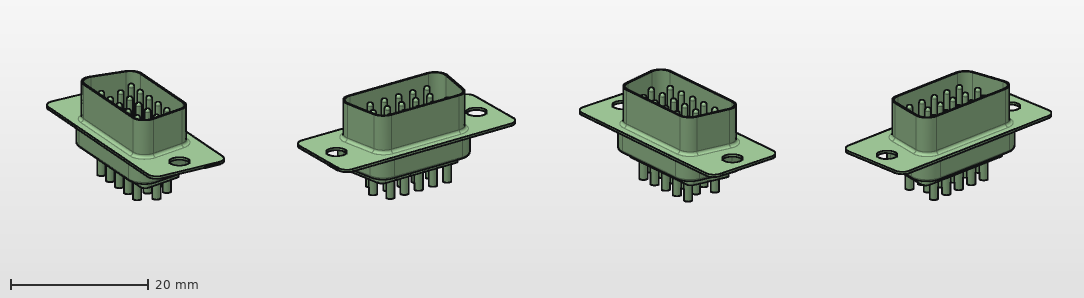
import cadquery as cq
import math

OVERALL_LENGTH = 31.3

STRIP_REACH = 0.1
STRIP_WIDTH = 2.45
STRIP_THICKNESS = 0.15
STRIP_CENTRE_Y = 3.65

FLANGE_LENGTH = OVERALL_LENGTH - STRIP_REACH
FLANGE_WIDTH = 12.7
FLANGE_THICKNESS = 0.4
FLANGE_CORNER_RADIUS = 1.5
MOUNT_HOLE_DIAMETER = 3.05
MOUNT_HOLE_SPACING = 25.0

SLANT_ANGLE = math.radians(10)

SHELL_LENGTH = 17.97
SHELL_WIDTH = 9.33
SHELL_CORNER_RADIUS = 1.97
SHELL_TOP = 6.32
SHELL_WALL = 0.25
SHELL_ROOT_RADIUS = 0.5
FLOOR_Z = FLANGE_THICKNESS

HOUSING_OVERHANG = 0.78
HOUSING_DEPTH = 3.63
HOUSING_EDGE_RADIUS = 0.47

BASE_LENGTH = 16.03
BASE_WIDTH = 6.95
BASE_CORNER_RADIUS = 0.78
BASE_HEIGHT = 1.28

PITCH = 2.55
CONTACTS_PER_ROW = 5
CONTACTS_CENTRE_X = 0.25
PIN_DIAMETER = 0.88
PIN_TOP = 5.38
TAIL_DIAMETER = 1.25
TAIL_LENGTH = 3.0

BASE_BOTTOM = -HOUSING_DEPTH - BASE_HEIGHT
TAIL_BOTTOM = BASE_BOTTOM - TAIL_LENGTH


def d_prism(length, width, corner_radius, bottom, top):
    """Prism with the rounded D outline; length is taken across the wide-side corners."""
    corner_x = length / 2 - corner_radius
    corner_y = width / 2 - corner_radius
    slant_offset = corner_radius / math.cos(SLANT_ANGLE)
    mid_half_length = corner_x + slant_offset - corner_y * math.tan(SLANT_ANGLE)
    slant_x = width / 2 * math.tan(SLANT_ANGLE)
    outline = [
        (-mid_half_length - slant_x, -width / 2),
        (mid_half_length + slant_x, -width / 2),
        (mid_half_length - slant_x, width / 2),
        (-mid_half_length + slant_x, width / 2),
    ]
    prism = cq.Workplane("XY").workplane(offset=bottom).polyline(outline).close().extrude(top - bottom)
    return prism.edges("|Z").fillet(corner_radius)


def make_flange():
    plate = cq.Workplane("XY").box(
        FLANGE_LENGTH, FLANGE_WIDTH, FLANGE_THICKNESS, centered=(True, True, False)
    )
    plate = plate.edges("|Z").fillet(FLANGE_CORNER_RADIUS)
    half_spacing = MOUNT_HOLE_SPACING / 2
    holes = plate.faces(">Z").workplane().pushPoints([(-half_spacing, 0), (half_spacing, 0)])
    return holes.hole(MOUNT_HOLE_DIAMETER)


def make_strip():
    """Thin raised strip along the lower edge of the flange's +X end."""
    strip = cq.Workplane("XY").box(
        2 * STRIP_REACH, STRIP_WIDTH, STRIP_THICKNESS, centered=(True, True, False)
    )
    return strip.translate((FLANGE_LENGTH / 2, STRIP_CENTRE_Y, 0))


def make_housing():
    growth = 2 * HOUSING_OVERHANG
    housing = d_prism(
        SHELL_LENGTH + growth,
        SHELL_WIDTH + growth,
        SHELL_CORNER_RADIUS + HOUSING_OVERHANG,
        -HOUSING_DEPTH,
        0,
    )
    return housing.faces("<Z").edges().fillet(HOUSING_EDGE_RADIUS)


def add_shell(flange):
    """Join the still solid upper shell to the flange and round its root."""
    shell = d_prism(SHELL_LENGTH, SHELL_WIDTH, SHELL_CORNER_RADIUS, FLANGE_THICKNESS, SHELL_TOP)
    root_reach = SHELL_ROOT_RADIUS / 2
    root_box = cq.selectors.BoxSelector(
        (-SHELL_LENGTH / 2 - root_reach, -SHELL_WIDTH / 2 - root_reach, FLANGE_THICKNESS - root_reach),
        (SHELL_LENGTH / 2 + root_reach, SHELL_WIDTH / 2 + root_reach, FLANGE_THICKNESS + root_reach),
    )
    return flange.union(shell).edges("#Z").edges(root_box).fillet(SHELL_ROOT_RADIUS)


def make_cavity():
    """Inside of the upper shell, down to the floor the pins stand on."""
    return d_prism(
        SHELL_LENGTH - 2 * SHELL_WALL,
        SHELL_WIDTH - 2 * SHELL_WALL,
        SHELL_CORNER_RADIUS - SHELL_WALL,
        FLOOR_Z,
        SHELL_TOP,
    )


def contact_positions():
    positions = []
    for row in (-1, 0, 1):
        row_shift = PITCH / 4 if row == 0 else -PITCH / 4
        for column in range(CONTACTS_PER_ROW):
            x = CONTACTS_CENTRE_X + row_shift + (column - (CONTACTS_PER_ROW - 1) / 2) * PITCH
            positions.append((x, row * PITCH))
    return positions


def make_contact():
    """One contact on the Z axis: round-tipped pin above the floor, solder tail below the base."""
    pin = cq.Workplane("XY").workplane(offset=BASE_BOTTOM).circle(PIN_DIAMETER / 2)
    pin = pin.extrude(PIN_TOP - PIN_DIAMETER / 2 - BASE_BOTTOM)
    tip = cq.Workplane("XY").sphere(PIN_DIAMETER / 2).translate((0, 0, PIN_TOP - PIN_DIAMETER / 2))
    tail = cq.Workplane("XY").workplane(offset=TAIL_BOTTOM).circle(TAIL_DIAMETER / 2)
    tail = tail.extrude(TAIL_LENGTH + BASE_HEIGHT)
    return pin.union(tip).union(tail)


body = add_shell(make_flange()).union(make_housing())
body = body.union(d_prism(BASE_LENGTH, BASE_WIDTH, BASE_CORNER_RADIUS, BASE_BOTTOM, -HOUSING_DEPTH))
body = body.cut(make_cavity())
body = body.union(make_strip())

contact = make_contact()
for x, y in contact_positions():
    body = body.union(contact.translate((x, y, 0)))

result = body